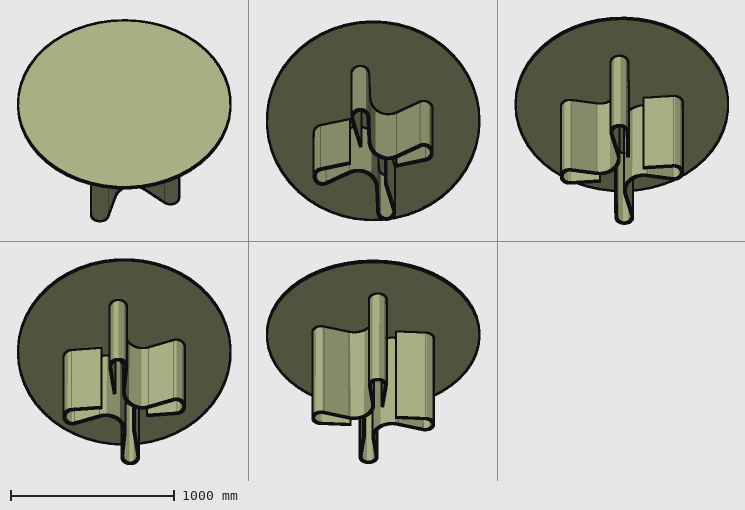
import cadquery as cq
import math

TOP_DIAMETER = 1300.0
TOTAL_HEIGHT = 735.0
TOP_THICKNESS = 14.0
LEG_HEIGHT = TOTAL_HEIGHT - TOP_THICKNESS

SHEET = 10.0
LEG_GAP = 121.0
LEG_SPREAD = 560.0
LOBE_RADIUS = 55.0
NOTCH_RADIUS = 110.0
FREE_END_Y = 130.0

inner_x = LEG_GAP / 2
lobe_offset = LEG_SPREAD / 2 - LOBE_RADIUS
lobe_center = cq.Vector(lobe_offset, -lobe_offset)
notch_center = cq.Vector(inner_x + SHEET + NOTCH_RADIUS, 0)
free_end = cq.Vector(inner_x, -FREE_END_Y)


def polar(center, radius, angle):
    return center + cq.Vector(math.cos(angle), math.sin(angle)) * radius


def direction_angle(start, end):
    return math.atan2(end.y - start.y, end.x - start.x)


def tangent_swing(target, distance):
    """Angle between the line from the lobe centre to the target and the tangent line's normal."""
    return math.acos(distance / (target - lobe_center).Length)


outer_wall_normal = direction_angle(lobe_center, free_end) + tangent_swing(free_end, LOBE_RADIUS)
notch_wall_normal = (
    direction_angle(lobe_center, notch_center)
    - tangent_swing(notch_center, LOBE_RADIUS + NOTCH_RADIUS)
)
lobe_middle = (outer_wall_normal - 2 * math.pi + notch_wall_normal) / 2


def arm_face(depth):
    """Points of one sheet face on the -Y arm, from the free end to the notch, depth below the outer face."""
    lobe_radius = LOBE_RADIUS - depth
    return [
        polar(free_end, -depth, outer_wall_normal),
        polar(lobe_center, lobe_radius, outer_wall_normal),
        polar(lobe_center, lobe_radius, lobe_middle),
        polar(lobe_center, lobe_radius, notch_wall_normal),
        polar(notch_center, -(NOTCH_RADIUS + depth), notch_wall_normal),
    ]


def mirrored(point):
    return cq.Vector(point.x, -point.y)


def face_edges(depth):
    """Edges of one whole sheet face: -Y arm, curve around the notch, +Y arm."""
    lower = arm_face(depth)
    upper = [mirrored(point) for point in lower]
    edges = []
    for end, lobe_start, lobe_mid, lobe_finish, notch_start in (lower, upper):
        edges.append(cq.Edge.makeLine(end, lobe_start))
        edges.append(cq.Edge.makeThreePointArc(lobe_start, lobe_mid, lobe_finish))
        edges.append(cq.Edge.makeLine(lobe_finish, notch_start))
    apex = polar(notch_center, NOTCH_RADIUS + depth, math.pi)
    edges.append(cq.Edge.makeThreePointArc(lower[-1], apex, upper[-1]))
    return edges


def make_leg(turn):
    """Bent sheet leg standing on the floor, turned about the table axis by the given degrees."""
    outer_end = arm_face(0)[0]
    inner_end = arm_face(SHEET)[0]
    end_edges = [
        cq.Edge.makeLine(outer_end, inner_end),
        cq.Edge.makeLine(mirrored(outer_end), mirrored(inner_end)),
    ]
    outline = cq.Wire.combine(face_edges(0) + face_edges(SHEET) + end_edges)[0]
    leg = cq.Solid.extrudeLinear(outline, [], cq.Vector(0, 0, LEG_HEIGHT))
    return leg.rotate(cq.Vector(0, 0, 0), cq.Vector(0, 0, 1), turn)


def make_table_top():
    disc = cq.Workplane("XY").workplane(offset=LEG_HEIGHT).circle(TOP_DIAMETER / 2)
    return disc.extrude(TOP_THICKNESS).val()


table_top = make_table_top()
legs = [make_leg(turn) for turn in (0, 180)]

result = cq.Compound.makeCompound([table_top, *legs])